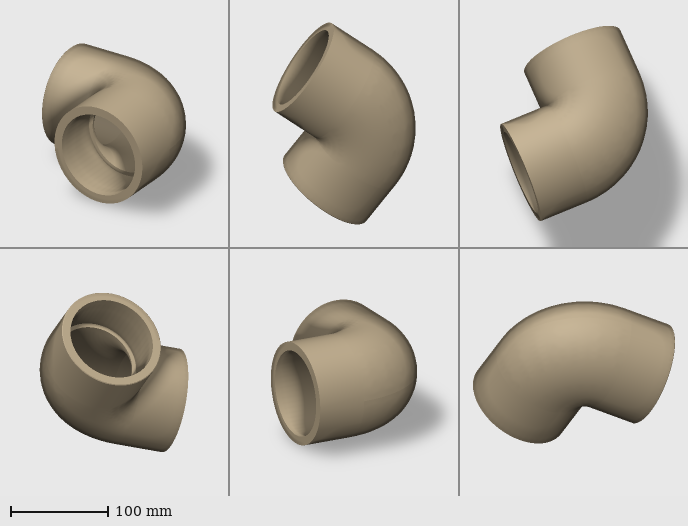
import cadquery as cq

overall_length = 154.0
outer_diameter = 108.0
socket_diameter = 90.0
bore_diameter = 81.2
leg_length = 51.1
rim_chamfer = 0.8

outer_radius = outer_diameter / 2
socket_radius = socket_diameter / 2
bore_radius = bore_diameter / 2
bend_radius = overall_length - leg_length - outer_radius
bend_angle = 90



def both_legs(radius):
    """Cylinders on the two leg axes, from the bend to the open ends."""
    x_leg = (
        cq.Workplane("YZ")
        .center(bend_radius, 0)
        .circle(radius)
        .extrude(-leg_length)
    )
    y_leg = (
        cq.Workplane("XZ")
        .center(bend_radius, 0)
        .circle(radius)
        .extrude(leg_length)
    )
    return x_leg.union(y_leg)


def quarter_bend(radius):
    """Quarter turn of a disc about Z; any part of the disc across the axis is cut off."""
    section = cq.Sketch().push([(bend_radius, 0)]).circle(radius)
    overhang = radius - bend_radius
    if overhang > 0:
        section = section.reset().push([(-overhang / 2, 0)]).rect(overhang, 2 * radius, mode="s")
    return (
        cq.Workplane("XZ")
        .placeSketch(section.reset())
        .revolve(bend_angle, (0, 0, 0), (0, 1, 0))
    )


body = both_legs(outer_radius).union(quarter_bend(outer_radius))

body = body.faces("<X").edges().chamfer(rim_chamfer)

result = body.cut(quarter_bend(bore_radius)).cut(both_legs(socket_radius))